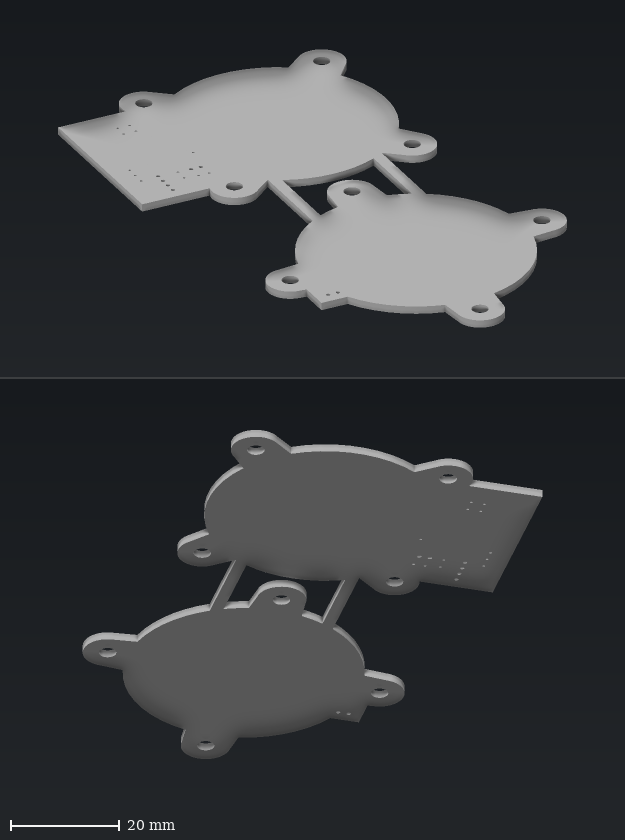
import cadquery as cq
import math

THICKNESS = 1.51
DISC_SPACING = 56.025
DISC_RADIUS = 22.3

LUG_PITCH_RADIUS = 26.0
LUG_RADIUS = 4.6
LUG_ROOT_HALF_WIDTH = 5.05
LUG_HOLE_DIAMETER = 3.2
LUGS_PER_DISC = 4
LEFT_LUG_START_ANGLE = 45.0
RIGHT_LUG_START_ANGLE = 0.0

BRIDGE_WIDTH = 2.3
BRIDGE_OFFSET_Y = 10.6

TAB_WIDTH = 34.1
TAB_BOTTOM_Y = -36.76

CORNER_RIGHT_X = 10.7
CORNER_BOTTOM_Y = -25.0

VIA_DIAMETER = 0.5
PIN_DIAMETER = 0.8
PIN_PITCH = 2.0

LONE_VIA = (3.05, -19.1)
SQUARE_VIA_CENTER = (-10.5, -25.9)
SQUARE_VIA_PITCH = 2.5

VIA_COLUMN_X = 11.6
VIA_COLUMN_CENTER_Y = -21.2
VIA_COLUMN_PITCH = 2.2
VIA_PAIR_CENTER = (9.95, -25.1)
VIA_PAIR_PITCH = 2.5
VIA_ROW_CENTER = (6.35, -32.7)
VIA_ROW_PITCH = 2.35
VIA_ROW_COUNT = 3

PIN_COLUMN_CENTER_Y = -21.4
LEFT_PIN_COLUMN_X = 8.75
RIGHT_PIN_COLUMN_X = DISC_SPACING + 8.35
PIN_ROW_CENTER = (11.5, -29.1)
PIN_ROW_COUNT = 4


def plate(x_min, x_max, y_min, y_max):
    """Rectangular piece of board between the given edges."""
    return (
        cq.Workplane("XY")
        .center((x_min + x_max) / 2, (y_min + y_max) / 2)
        .rect(x_max - x_min, y_max - y_min)
        .extrude(THICKNESS)
    )


def disc_half_chord(offset):
    """Half length of the disc's chord at the given distance from its centre."""
    return math.sqrt(DISC_RADIUS**2 - offset**2)


def lug():
    """Round-ended lug along +X whose flanks flare slightly toward the disc."""
    root_x = disc_half_chord(LUG_ROOT_HALF_WIDTH)
    return (
        cq.Workplane("XY")
        .moveTo(0, -LUG_ROOT_HALF_WIDTH)
        .lineTo(root_x, -LUG_ROOT_HALF_WIDTH)
        .lineTo(LUG_PITCH_RADIUS, -LUG_RADIUS)
        .threePointArc((LUG_PITCH_RADIUS + LUG_RADIUS, 0), (LUG_PITCH_RADIUS, LUG_RADIUS))
        .lineTo(root_x, LUG_ROOT_HALF_WIDTH)
        .lineTo(0, LUG_ROOT_HALF_WIDTH)
        .close()
        .extrude(THICKNESS)
    )


def lugged_disc(center_x, start_angle):
    """Disc with evenly spaced lugs, still without the lug holes."""
    disc = cq.Workplane("XY").circle(DISC_RADIUS).extrude(THICKNESS)
    for index in range(LUGS_PER_DISC):
        angle = start_angle + index * 360 / LUGS_PER_DISC
        disc = disc.union(lug().rotate((0, 0, 0), (0, 0, 1), angle))
    return disc.translate((center_x, 0, 0))


def lug_hole_points(center_x, start_angle):
    """Centres of the lug holes of one disc."""
    points = []
    for index in range(LUGS_PER_DISC):
        angle = math.radians(start_angle + index * 360 / LUGS_PER_DISC)
        x = center_x + LUG_PITCH_RADIUS * math.cos(angle)
        y = LUG_PITCH_RADIUS * math.sin(angle)
        points.append((x, y))
    return points


def bridge(center_y):
    """Straight strip from inside one disc to inside the other."""
    end_x = disc_half_chord(abs(center_y) + BRIDGE_WIDTH / 2)
    half_width = BRIDGE_WIDTH / 2
    return plate(end_x, DISC_SPACING - end_x, center_y - half_width, center_y + half_width)


def connector_tab():
    """Wide tab that runs from inside the left disc down to the board's lowest edge."""
    top_y = -disc_half_chord(TAB_WIDTH / 2)
    return plate(-TAB_WIDTH / 2, TAB_WIDTH / 2, TAB_BOTTOM_Y, top_y)


def corner_tab():
    """Small square corner between the right disc and its bottom lug."""
    top_y = -disc_half_chord(CORNER_RIGHT_X)
    return plate(DISC_SPACING, DISC_SPACING + CORNER_RIGHT_X, CORNER_BOTTOM_Y, top_y)


def grid(center, pitch, columns, rows):
    """Points of a square-pitched grid about its centre."""
    points = []
    for column in range(columns):
        for row in range(rows):
            x = center[0] + (column - (columns - 1) / 2) * pitch
            y = center[1] + (row - (rows - 1) / 2) * pitch
            points.append((x, y))
    return points


def drills(points, diameter):
    """Through-hole cutters at the given points."""
    return cq.Workplane("XY").pushPoints(points).circle(diameter / 2).extrude(THICKNESS)


board = lugged_disc(0, LEFT_LUG_START_ANGLE)
board = board.union(lugged_disc(DISC_SPACING, RIGHT_LUG_START_ANGLE))
board = board.union(bridge(BRIDGE_OFFSET_Y)).union(bridge(-BRIDGE_OFFSET_Y))
board = board.union(connector_tab()).union(corner_tab())

lug_holes = lug_hole_points(0, LEFT_LUG_START_ANGLE)
lug_holes += lug_hole_points(DISC_SPACING, RIGHT_LUG_START_ANGLE)

vias = [LONE_VIA]
vias += grid(SQUARE_VIA_CENTER, SQUARE_VIA_PITCH, 2, 2)
vias += grid((VIA_COLUMN_X, VIA_COLUMN_CENTER_Y), VIA_COLUMN_PITCH, 1, 2)
vias += grid(VIA_PAIR_CENTER, VIA_PAIR_PITCH, 2, 1)
vias += grid(VIA_ROW_CENTER, VIA_ROW_PITCH, VIA_ROW_COUNT, 1)

pins = grid((LEFT_PIN_COLUMN_X, PIN_COLUMN_CENTER_Y), PIN_PITCH, 1, 2)
pins += grid((RIGHT_PIN_COLUMN_X, PIN_COLUMN_CENTER_Y), PIN_PITCH, 1, 2)
pins += grid(PIN_ROW_CENTER, PIN_PITCH, PIN_ROW_COUNT, 1)

board = board.cut(drills(lug_holes, LUG_HOLE_DIAMETER))
board = board.cut(drills(vias, VIA_DIAMETER))
result = board.cut(drills(pins, PIN_DIAMETER))